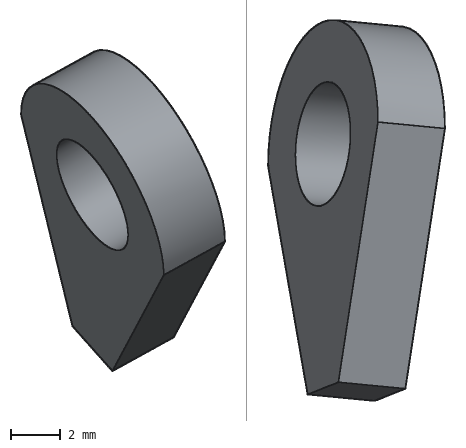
import cadquery as cq

height = 15.0
thickness = 3.0
tip_width = 2.8

head_radius = height / 3
hole_radius = head_radius / 2
tip_z = head_radius - height

back_plane = cq.Workplane("XZ", origin=(0, thickness / 2, 0))
plate = (
    back_plane
    .moveTo(-head_radius, 0)
    .threePointArc((0, head_radius), (head_radius, 0))
    .lineTo(tip_width / 2, tip_z)
    .lineTo(-tip_width / 2, tip_z)
    .close()
    .extrude(thickness)
)

hole = back_plane.circle(hole_radius).extrude(thickness)

result = plate.cut(hole)